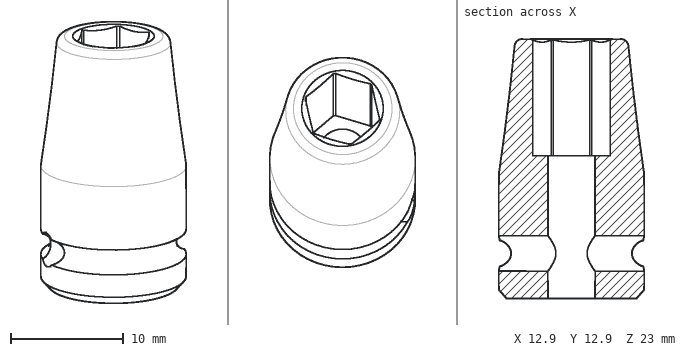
import cadquery as cq
import math

height = 23.0
body_radius = 6.452
base_chamfer_height = 0.78
base_chamfer_width = 0.7

groove_bottom = 2.85
groove_top = 5.15
groove_depth = 0.87
groove_middle = (groove_bottom + groove_top) / 2
pin_hole_diameter = 3.08

taper_start = 11.05
rim_flat_radius = 4.37
rim_round_radius = 0.7
rim_lean = math.radians(6.5)
rim_start = height - rim_round_radius * (1 - math.sin(rim_lean))
nose_radius = rim_flat_radius + rim_round_radius * math.cos(rim_lean)
taper_bow = 0.07

hex_across_flats = 6.03
hex_corner_diameter = 6.83
hex_depth = 10.35
mouth_radius = 3.6
lead_in_slope = 0.5
bore_diameter = 4.15


def make_body():
    """Revolve the outer profile around the Z axis."""
    taper_middle = ((body_radius + nose_radius) / 2 - taper_bow, (taper_start + rim_start) / 2)
    rim_middle = (
        rim_flat_radius + rim_round_radius * math.cos(math.pi / 4),
        height - rim_round_radius * (1 - math.sin(math.pi / 4)),
    )
    return (
        cq.Workplane("XZ")
        .moveTo(0, 0)
        .lineTo(body_radius - base_chamfer_width, 0)
        .lineTo(body_radius, base_chamfer_height)
        .lineTo(body_radius, groove_bottom)
        .threePointArc((body_radius - groove_depth, groove_middle), (body_radius, groove_top))
        .lineTo(body_radius, taper_start)
        .threePointArc(taper_middle, (nose_radius, rim_start))
        .threePointArc(rim_middle, (rim_flat_radius, height))
        .lineTo(0, height)
        .close()
        .revolve(360, (0, 0, 0), (0, 1, 0))
    )


def make_hex_socket():
    """Hexagon with corners on the Y axis, each corner trimmed by a cylinder."""
    floor = cq.Workplane("XY").workplane(offset=height - hex_depth)
    hexagon = (
        floor.transformed(rotate=(0, 0, 90))
        .polygon(6, hex_across_flats / math.cos(math.pi / 6))
        .extrude(hex_depth)
    )
    corner_limit = floor.circle(hex_corner_diameter / 2).extrude(hex_depth)
    return hexagon.intersect(corner_limit)


def make_lead_in():
    """Shallow cone that opens the socket mouth."""
    return (
        cq.Workplane("XZ")
        .moveTo(0, height)
        .lineTo(mouth_radius, height)
        .lineTo(0, height - mouth_radius * lead_in_slope)
        .close()
        .revolve(360, (0, 0, 0), (0, 1, 0))
    )


def make_pin_hole():
    """Cross hole along Y through both walls."""
    return (
        cq.Workplane("XZ")
        .center(0, groove_middle)
        .circle(pin_hole_diameter / 2)
        .extrude(body_radius, both=True)
    )


bore = cq.Workplane("XY").circle(bore_diameter / 2).extrude(height)

result = (
    make_body()
    .cut(make_hex_socket())
    .cut(make_lead_in())
    .cut(bore)
    .cut(make_pin_hole())
)